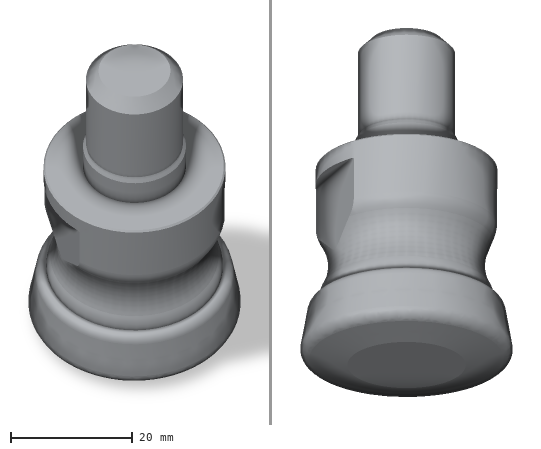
import cadquery as cq
import math

total_height = 57.75

foot_height = 11.1
foot_flat_radius = 9.75
foot_max_radius = 17.5
foot_taper = math.radians(10)
foot_rounding = 1.8

neck_radius = 14.55
neck_top = 11.4
waist_bottom = 13.75
waist_bottom_radius = 13.85
waist_radius = 12.95
waist_height = 18.0
waist_top = 22.1
waist_top_radius = 14.15
collar_radius = 30.0 / 2
collar_bottom = 24.7
collar_top = 35.1
collar_chamfer = 0.3

pilot_radius = 17.0 / 2
pilot_top = 40.7
pilot_chamfer_height = 0.9
stud_radius = 16.0 / 2
stud_chamfer = 2.1

flat_distance = 25.95
flat_top = 31.95
flat_corner_radius = 0.25


def bulge_point(vertical_end, other_end):
    """Middle point of an arc that is vertical at its first end and passes through its second."""
    inset = vertical_end[0] - other_end[0]
    rise = other_end[1] - vertical_end[1]
    radius = (inset**2 + rise**2) / (2 * inset)
    half_sweep = math.asin(abs(rise) / radius) / 2
    return (
        vertical_end[0] - radius * (1 - math.cos(half_sweep)),
        vertical_end[1] + math.copysign(radius * math.sin(half_sweep), rise),
    )


def make_foot():
    """Foot whose wall leans in by the taper angle and whose underside rises by the same angle."""
    slope = math.tan(foot_taper)
    corner_overshoot = foot_rounding * (math.cos(foot_taper) + math.sin(foot_taper) - 1)
    corner_radius = foot_max_radius + corner_overshoot
    corner_height = (corner_radius - foot_flat_radius) * slope
    top_radius = corner_radius - (foot_height - corner_height) * slope
    blank = (
        cq.Workplane("XZ")
        .lineTo(foot_flat_radius, 0)
        .lineTo(corner_radius, corner_height)
        .lineTo(top_radius, foot_height)
        .lineTo(0, foot_height)
        .close()
        .revolve(360, (0, 0, 0), (0, 1, 0))
    )
    return blank.edges("%CIRCLE and (not <Z)").fillet(foot_rounding)


def turn_body():
    """Collar, waist and stud as one turned shape."""
    neck_end = (neck_radius, neck_top)
    waist_start = (waist_bottom_radius, waist_bottom)
    waist_end = (waist_top_radius, waist_top)
    collar_start = (collar_radius, collar_bottom)
    return (
        cq.Workplane("XZ")
        .moveTo(0, foot_height)
        .lineTo(neck_radius, foot_height)
        .lineTo(*neck_end)
        .threePointArc(bulge_point(neck_end, waist_start), waist_start)
        .threePointArc((waist_radius, waist_height), waist_end)
        .threePointArc(bulge_point(collar_start, waist_end), collar_start)
        .lineTo(collar_radius, collar_top - collar_chamfer)
        .lineTo(collar_radius - collar_chamfer, collar_top)
        .lineTo(pilot_radius, collar_top)
        .lineTo(pilot_radius, pilot_top - pilot_chamfer_height)
        .lineTo(stud_radius, pilot_top)
        .lineTo(stud_radius, total_height - stud_chamfer)
        .lineTo(stud_radius - stud_chamfer, total_height)
        .lineTo(0, total_height)
        .close()
        .revolve(360, (0, 0, 0), (0, 1, 0))
    )


def flat_cutter(side):
    """Block that cuts the wrench flat on the given Y side, with a rounded inner top edge."""
    block = cq.Workplane("XY").box(
        2 * collar_radius, collar_radius, flat_top - waist_height, centered=(True, False, False)
    )
    block = block.edges("<Y and >Z").fillet(flat_corner_radius)
    block = block.translate((0, flat_distance / 2, waist_height))
    return block if side > 0 else block.mirror("XZ")


def make_body():
    body = turn_body()
    for side in (-1, 1):
        body = body.cut(flat_cutter(side))
    return body


foot = make_foot()
body = make_body()

result = cq.Compound.makeCompound([foot.val(), body.val()])